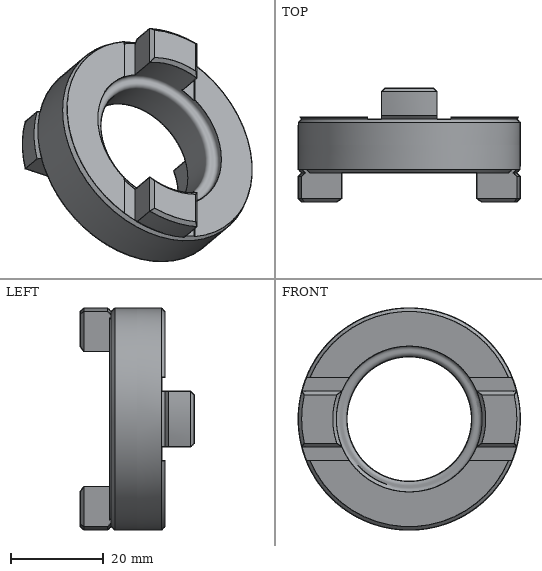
import cadquery as cq
import math

outer_radius = 24
bore_radius = 13.45
recess_radius = 15.75
face_offset = 6.0
chamfer = 0.75
rear_groove_offset = 5.6

shelf_depth = 1.35
recess_fillet = 0.8
bore_rounding = 0.95

overall_length = 24.6
tooth_tip_offset = overall_length / 2
tooth_half_width = 6.0
slot_half_width = 9.0
front_floor_offset = 5.35
rear_floor_offset = rear_groove_offset

cutter_length = 3 * outer_radius


def revolve_about_y(profile):
    return profile.close().revolve(360, (0, 0, 0), (0, 1, 0))


def half_body(groove_offset):
    """Half of a ring and tooth tube on the +Y side, with a V groove around the outside."""
    groove_radius = outer_radius - chamfer
    blank = revolve_about_y(
        cq.Workplane("XY")
        .moveTo(bore_radius, 0)
        .lineTo(outer_radius, 0)
        .lineTo(outer_radius, groove_offset - chamfer)
        .lineTo(groove_radius, groove_offset)
        .lineTo(outer_radius, groove_offset + chamfer)
        .lineTo(outer_radius, tooth_tip_offset - chamfer)
        .lineTo(groove_radius, tooth_tip_offset)
        .lineTo(bore_radius, tooth_tip_offset)
    )
    return blank.cut(bore_entry(groove_offset - shelf_depth))


def bore_entry(shelf):
    """Space inside the teeth and the stepped, rounded entry, with its shelf at Y = shelf."""
    diagonal = math.sqrt(0.5)
    fillet_center = (recess_radius - recess_fillet, shelf + recess_fillet)
    rounding_center = (bore_radius + bore_rounding, shelf - bore_rounding)
    fillet_middle = (
        fillet_center[0] + recess_fillet * diagonal,
        fillet_center[1] - recess_fillet * diagonal,
    )
    rounding_middle = (
        rounding_center[0] - bore_rounding * diagonal,
        rounding_center[1] + bore_rounding * diagonal,
    )
    return revolve_about_y(
        cq.Workplane("XY")
        .moveTo(0, rounding_center[1])
        .lineTo(bore_radius, rounding_center[1])
        .threePointArc(rounding_middle, (rounding_center[0], shelf))
        .lineTo(fillet_center[0], shelf)
        .threePointArc(fillet_middle, (recess_radius, fillet_center[1]))
        .lineTo(recess_radius, tooth_tip_offset - chamfer)
        .lineTo(recess_radius + chamfer, tooth_tip_offset)
        .lineTo(0, tooth_tip_offset)
    )


def slotted_end_envelope(floor_offset):
    """Ring with a slot along X, and a chamfered bar along X standing in the slot."""
    ring = cq.Workplane("XZ").circle(cutter_length).extrude(-face_offset)
    slot = cq.Workplane("XY").box(
        2 * cutter_length, face_offset - floor_offset, 2 * slot_half_width
    ).translate((0, (face_offset + floor_offset) / 2, 0))
    bar = (
        cq.Workplane("XY")
        .box(cutter_length, tooth_tip_offset, 2 * tooth_half_width, centered=(True, False, True))
        .faces(">Y").edges("|X").chamfer(chamfer)
    )
    return ring.cut(slot).union(bar)


front_envelope = slotted_end_envelope(front_floor_offset)
rear_envelope = slotted_end_envelope(rear_floor_offset).rotate((0, 0, 0), (0, 1, 0), 90)

front_half = half_body(face_offset).intersect(front_envelope).rotate((0, 0, 0), (0, 0, 1), 180)
rear_half = half_body(rear_groove_offset).intersect(rear_envelope)

result = front_half.union(rear_half).clean()